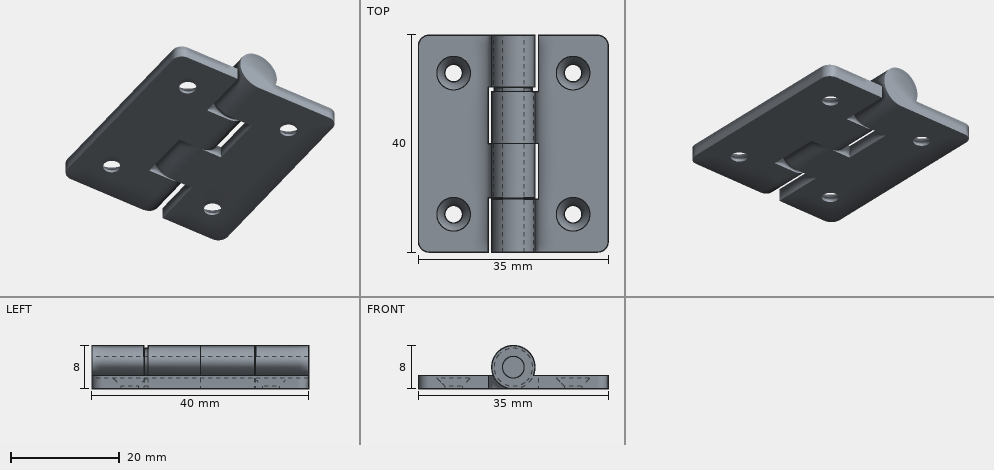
import cadquery as cq

hinge_length = 40.0
hinge_width = 35.0
leaf_thickness = 2.5
corner_radius = 2.0

knuckle_radius = 4.0
pin_radius = 2.0
barrel_clearance = 0.6
leaf_inner_edge = knuckle_radius + barrel_clearance

hole_offset_x = 11.0
hole_offset_y = 13.0
hole_diameter = 3.2
countersink_diameter = 6.2
countersink_recess = 0.5
countersink_depth = (countersink_diameter - hole_diameter) / 2

back_end = hinge_length / 2
front_end = -hinge_length / 2
knuckle_gap = 0.2
washer_gap = 0.1
washer_thickness = 0.7
washer_radius = 3.5
first_knuckle_length = 9.6
third_knuckle_length = 10.0

first_knuckle_front = back_end - first_knuckle_length
second_knuckle_back = first_knuckle_front - washer_gap - washer_thickness
middle_joint = 0.0
third_knuckle_front = middle_joint - third_knuckle_length
fourth_knuckle_back = third_knuckle_front - knuckle_gap

left_knuckles = [(first_knuckle_front, back_end), (third_knuckle_front, middle_joint)]
right_knuckles = [(middle_joint, second_knuckle_back), (front_end, fourth_knuckle_back)]


def barrel_cylinder(radius, y_start, y_end):
    """Cylinder on the hinge axis between two Y positions."""
    axis_start = cq.Vector(0, y_start, knuckle_radius)
    return cq.Workplane(cq.Solid.makeCylinder(radius, y_end - y_start, axis_start, cq.Vector(0, 1, 0)))


def block(x_start, x_end, y_start, y_end):
    """Flat block of leaf thickness standing on z = 0."""
    return (
        cq.Workplane("XY")
        .box(x_end - x_start, y_end - y_start, leaf_thickness, centered=False)
        .translate((x_start, y_start, 0))
    )


def screw_hole(x, y):
    """Cutter for a through hole with a recessed 90 degree countersink."""
    hole_radius = hole_diameter / 2
    head_radius = countersink_diameter / 2
    recess_floor = leaf_thickness - countersink_recess
    cone_bottom = recess_floor - countersink_depth
    profile = (
        cq.Workplane("XZ")
        .moveTo(0, 0)
        .lineTo(hole_radius, 0)
        .lineTo(hole_radius, cone_bottom)
        .lineTo(head_radius, recess_floor)
        .lineTo(head_radius, leaf_thickness)
        .lineTo(0, leaf_thickness)
        .close()
    )
    return profile.revolve(360, (0, 0, 0), (0, 1, 0)).translate((x, y, 0))


def make_leaf(side, knuckles):
    """Leaf on the -X side (side = -1) or +X side (side = 1), with knuckles at the given Y spans."""
    inner_x = side * leaf_inner_edge
    outer_x = side * hinge_width / 2
    leaf = block(min(inner_x, outer_x), max(inner_x, outer_x), front_end, back_end)
    outer_corners = "|Z and <X" if side < 0 else "|Z and >X"
    leaf = leaf.edges(outer_corners).fillet(corner_radius)
    for y_start, y_end in knuckles:
        leaf = leaf.union(block(min(0, inner_x), max(0, inner_x), y_start, y_end))
        leaf = leaf.union(barrel_cylinder(knuckle_radius, y_start, y_end))
    for y in (-hole_offset_y, hole_offset_y):
        leaf = leaf.cut(screw_hole(side * hole_offset_x, y))
    return leaf.cut(barrel_cylinder(pin_radius, front_end, back_end))


def make_pin():
    """Pin running the full length of the barrel, flush at both ends."""
    return barrel_cylinder(pin_radius, front_end, back_end)


def make_washer():
    """Washer on the pin, resting on the second knuckle."""
    washer_back = second_knuckle_back + washer_thickness
    ring = barrel_cylinder(washer_radius, second_knuckle_back, washer_back)
    return ring.cut(barrel_cylinder(pin_radius, second_knuckle_back, washer_back))


left_leaf = make_leaf(-1, left_knuckles)
right_leaf = make_leaf(1, right_knuckles)
pin = make_pin()
washer = make_washer()

result = cq.Compound.makeCompound([left_leaf.val(), right_leaf.val(), pin.val(), washer.val()])